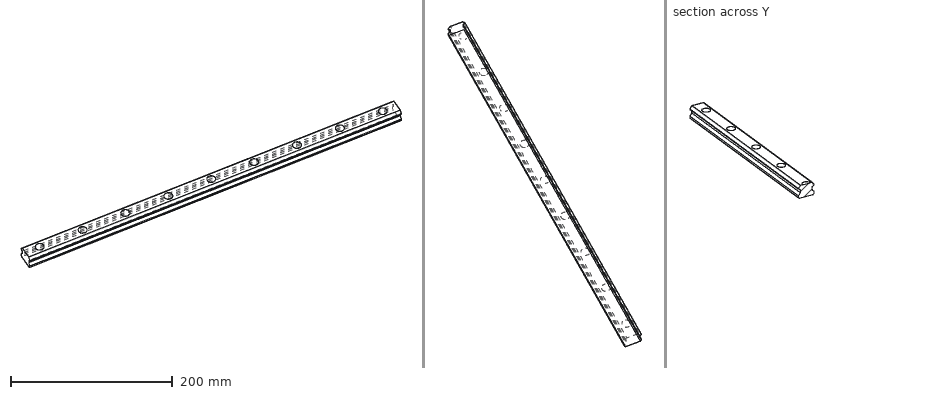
import cadquery as cq

length = 520.0
width = 23.0
height = 18.0

half_width = width / 2
top_half_width = 8.8
waist_half_width = 8.7

shoulder_height = 14.2
shoulder_face = 0.8
waist_top_height = 11.4
waist_bottom_height = 7.8
foot_height = 4.2

top_chamfer = 0.4
foot_chamfer = 1.5

recess_count = 9
recess_pitch = 60.0
recess_diameter = 11.0
recess_depth = 0.2


def rail_body():
    """Extrude the symmetric rail section along Y, centred on the origin."""
    right_side = [
        (half_width - foot_chamfer, 0),
        (half_width, foot_chamfer),
        (half_width, foot_height),
        (waist_half_width, waist_bottom_height),
        (waist_half_width, waist_top_height),
        (half_width, shoulder_height - shoulder_face),
        (half_width, shoulder_height),
        (top_half_width, height - top_chamfer),
        (top_half_width - top_chamfer, height),
    ]
    left_side = [(-x, z) for x, z in reversed(right_side)]
    section = cq.Workplane("XZ").polyline(right_side + left_side).close()
    return section.extrude(length / 2, both=True)


def mounting_recesses():
    """Discs that sink the mounting positions into the top face."""
    return (
        cq.Workplane("XY", origin=(0, 0, height))
        .rarray(1, recess_pitch, 1, recess_count)
        .circle(recess_diameter / 2)
        .extrude(-recess_depth)
    )


result = rail_body().cut(mounting_recesses())